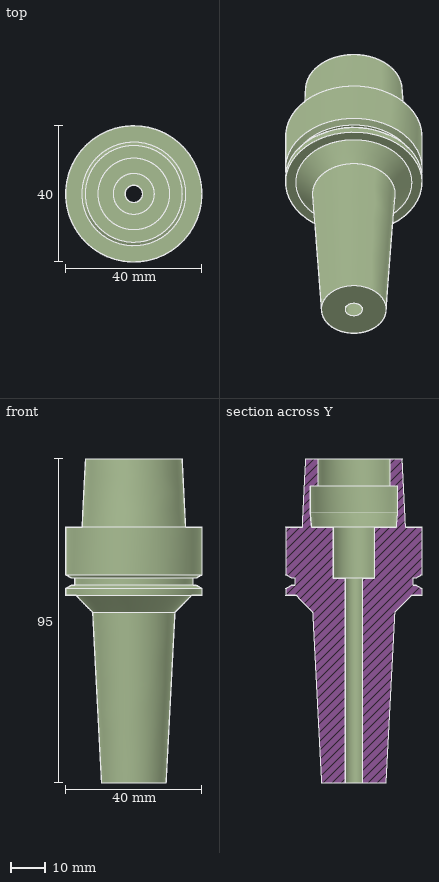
import cadquery as cq
import math


taper_length = 20.0
taper_top_radius = 14.2
taper_base_radius = 15.2

collar_radius = 20.0
collar_length = 20.0
groove_top_depth = 14.0
groove_width = 4.0
groove_root_radius = 17.4
groove_flank_height = 1.0
groove_flank_angle = 60.0

total_length = 95.0
shoulder_height = 5.0
shoulder_top_radius = 17.0
nose_top_radius = 12.1
nose_tip_radius = 9.5

mouth_radius = 10.5
mouth_depth = 8.0
recess_radius = 12.75
recess_depth = 15.7
tail_length = 4.3
tail_angle = 5.0
counterbore_radius = 6.0
counterbore_depth = 15.0
through_radius = 2.5

top_z = taper_length
tip_z = taper_length - total_length
collar_bottom_z = -collar_length
shoulder_bottom_z = collar_bottom_z - shoulder_height
groove_top_z = -groove_top_depth
groove_bottom_z = groove_top_z - groove_width
groove_ledge_radius = collar_radius - groove_flank_height * math.tan(math.radians(groove_flank_angle))
upper_ledge_z = groove_top_z - groove_flank_height
lower_ledge_z = groove_bottom_z + groove_flank_height


def revolve_profile(points):
    """Revolve a closed (radius, height) outline one full turn about Z."""
    return cq.Workplane("XZ").polyline(points).close().revolve(360, (0, 0, 0), (0, 1, 0))


def make_body():
    """Solid outer shape: taper, grooved collar, conical shoulder and nose."""
    return revolve_profile([
        (0, top_z),
        (taper_top_radius, top_z),
        (taper_base_radius, 0),
        (collar_radius, 0),
        (collar_radius, groove_top_z),
        (groove_ledge_radius, upper_ledge_z),
        (groove_root_radius, upper_ledge_z),
        (groove_root_radius, lower_ledge_z),
        (groove_ledge_radius, lower_ledge_z),
        (collar_radius, groove_bottom_z),
        (collar_radius, collar_bottom_z),
        (shoulder_top_radius, collar_bottom_z),
        (nose_top_radius, shoulder_bottom_z),
        (nose_tip_radius, tip_z),
        (0, tip_z),
    ])


def make_bore():
    """Material removed inside: mouth, wider recess with a tapering tail, counterbore and through hole."""
    mouth_z = top_z - mouth_depth
    recess_z = top_z - recess_depth
    floor_z = recess_z - tail_length
    floor_radius = recess_radius - tail_length * math.tan(math.radians(tail_angle))
    counterbore_z = floor_z - counterbore_depth
    return revolve_profile([
        (0, top_z),
        (mouth_radius, top_z),
        (mouth_radius, mouth_z),
        (recess_radius, mouth_z),
        (recess_radius, recess_z),
        (floor_radius, floor_z),
        (counterbore_radius, floor_z),
        (counterbore_radius, counterbore_z),
        (through_radius, counterbore_z),
        (through_radius, tip_z),
        (0, tip_z),
    ])


result = make_body().cut(make_bore())